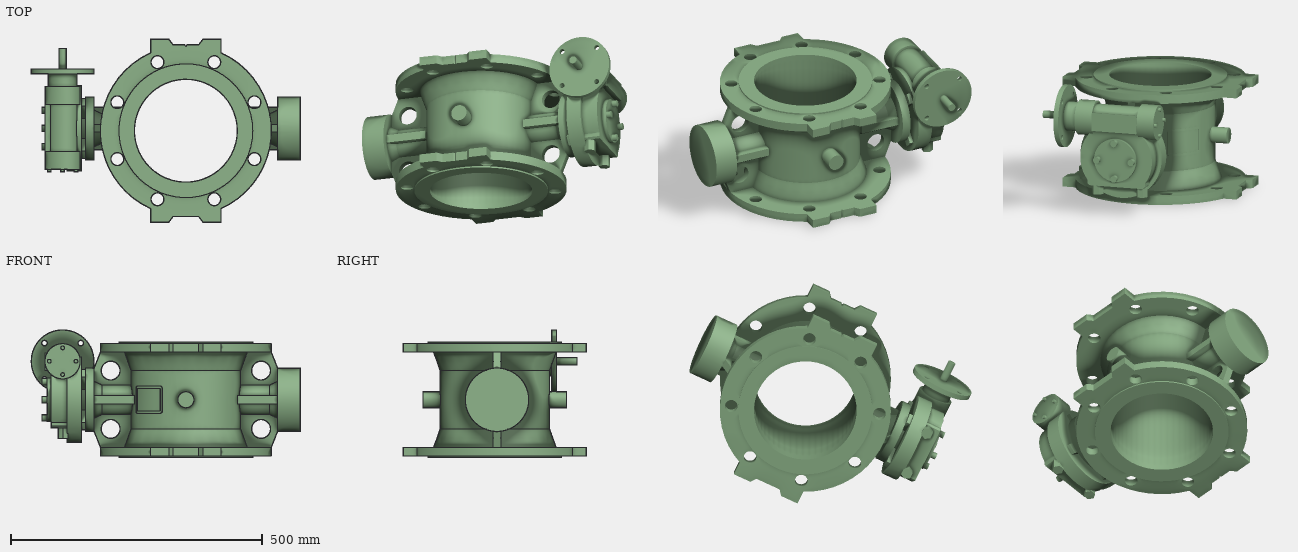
import cadquery as cq
import math


BORE_DIA = 204.0
FACE_TO_FACE = 230.0
RAISED_FACE_DIA = 266.0
RAISED_FACE_HEIGHT = 3.0
FLANGE_DIA = 340.0
FLANGE_THICKNESS = 17.5
BARREL_DIA = 218.0
BARREL_HEIGHT = 116.0
CONE_END_DIA = 244.0
BOLT_CIRCLE_DIA = 295.0
BOLT_HOLE_DIA = 25.0
BOLT_COUNT = 8

FOOT_WIDTH = 140.0
FOOT_REACH = 182.0
FOOT_NOTCH_WIDTH = 68.0
FOOT_NOTCH_FLOOR = 51.0
FOOT_NOTCH_DEPTH = 11.0
MARK_WIDTH = 5.0
MARK_DEPTH = 3.0

SHAFT_Y = 4.5
BOSS_END_X = 182.5
BOSS_DIA = 60.0
BOSS_FLARE_DIA = 75.0
BOSS_FLARE_X = 166.5
WEB_THICKNESS = 15.0
WEB_SHOULDER_Z = 63.0
LIFTING_HOLE_DIA = 37.0
LIFTING_HOLE_X = 149.5
LIFTING_HOLE_Z = 58.0
RIB_THICKNESS = 16.0
RIB_WIDTH = 85.0
RIB_INNER_X = 102.5
MOUNT_DIA = 126.0
END_CAP_LENGTH = 45.0
MOUNT_FLANGE_THICKNESS = 17.0

PIN_DIA = 32.0
PIN_REACH = 143.0
FRAME_WIDTH = 74.0
FRAME_HEIGHT = 55.0
FRAME_BORDER = 4.7
FRAME_RELIEF = 1.0
FRAME_CORNER_RADIUS = 6.0
FRAME_INNER_RADIUS = 2.0
FRAME_ANGLE = 225.0

SMALL_BOLT_COUNT = 4
COUPLING_DIA = 150.0
COUPLING_ARM_WIDTH = 21.0
COUPLING_HUB_DIA = 81.0
GEAR_BASE_X = -207.0
GEAR_BASE_DIA = 170.0
GEAR_BASE_LENGTH = 29.5
HOUSING_DIA = 150.0
HOUSING_LENGTH = 31.5
HOUSING_FOOT_WIDTH = 120.0
HOUSING_FOOT_Z = -56.0
HOUSING_FOOT_CHAMFER = 3.5
COVER_DIA = 87.0
COVER_THICKNESS = 8.0
COVER_BOLT_DIA = 13.0
COVER_BOLT_LENGTH = 10.0
COVER_BOLT_CIRCLE_DIA = 72.0
STOP_SCREW_FLATS = 20.0
STOP_SCREW_LENGTH = 21.5
STOP_SCREW_SPACING = 92.0
STOP_SCREW_X = -244.0

WORM_X = -245.0
WORM_Z = 76.5
WORM_TUBE_DIA = 58.0
WORM_COLLAR_DIA = 70.0
WORM_COLLAR_START_Y = -77.0
WORM_COLLAR_END_Y = 88.0
WORM_COLLAR_LENGTH = 35.5
WORM_BLOCK_BOTTOM_Z = 58.0
WORM_BLOCK_TOP_Z = 93.0
INPUT_FLANGE_Y = 113.0
INPUT_FLANGE_DIA = 125.0
INPUT_FLANGE_THICKNESS = 10.0
INPUT_FLANGE_HOLE_DIA = 10.5
INPUT_FLANGE_BOLT_CIRCLE_DIA = 102.0
INPUT_SHAFT_DIA = 15.0
INPUT_SHAFT_END_Y = 163.5
CAP_SCREW_DIA = 7.5
CAP_SCREW_LENGTH = 5.0
CAP_SCREW_CIRCLE_DIA = 53.0

HALF_LENGTH = FACE_TO_FACE / 2
FLANGE_OUTER_Z = HALF_LENGTH - RAISED_FACE_HEIGHT
FLANGE_INNER_Z = FLANGE_OUTER_Z - FLANGE_THICKNESS
HOUSING_BASE_X = GEAR_BASE_X - GEAR_BASE_LENGTH
HOUSING_FACE_X = HOUSING_BASE_X - HOUSING_LENGTH
COVER_FACE_X = HOUSING_FACE_X - COVER_THICKNESS


def cylinder_x(diameter, x_start, x_end, y=SHAFT_Y, z=0.0):
    """Cylinder parallel to X."""
    start = cq.Vector(x_start, y, z)
    return cq.Workplane(cq.Solid.makeCylinder(diameter / 2, x_end - x_start, start, cq.Vector(1, 0, 0)))


def cylinder_y(diameter, y_start, y_end, x=WORM_X, z=WORM_Z):
    """Cylinder parallel to Y."""
    start = cq.Vector(x, y_start, z)
    return cq.Workplane(cq.Solid.makeCylinder(diameter / 2, y_end - y_start, start, cq.Vector(0, 1, 0)))


def box_between(x_range, y_range, z_range):
    """Axis-aligned box given by its limits."""
    return (
        cq.Workplane()
        .box(x_range[1] - x_range[0], y_range[1] - y_range[0], z_range[1] - z_range[0], centered=False)
        .translate((x_range[0], y_range[0], z_range[0]))
    )


def circle_points(diameter, count, first_angle):
    """Points evenly spaced on a circle about the origin."""
    angles = [math.radians(first_angle + i * 360 / count) for i in range(count)]
    return [(diameter / 2 * math.cos(a), diameter / 2 * math.sin(a)) for a in angles]


def barrel():
    """Barrel with conical ends and the two raised faces, revolved about Z."""
    barrel_r = BARREL_DIA / 2
    cone_r = CONE_END_DIA / 2
    face_r = RAISED_FACE_DIA / 2
    outline = [
        (0, -HALF_LENGTH),
        (face_r, -HALF_LENGTH),
        (face_r, -FLANGE_INNER_Z),
        (cone_r, -FLANGE_INNER_Z),
        (barrel_r, -BARREL_HEIGHT / 2),
        (barrel_r, BARREL_HEIGHT / 2),
        (cone_r, FLANGE_INNER_Z),
        (face_r, FLANGE_INNER_Z),
        (face_r, HALF_LENGTH),
        (0, HALF_LENGTH),
    ]
    return cq.Workplane("XZ").polyline(outline).close().revolve(360, (0, 0), (0, 1))


def flange(z_bottom):
    """Round flange with two notched feet; the +Y foot has a V mark on the centre line."""
    plate = cq.Workplane().circle(FLANGE_DIA / 2).extrude(FLANGE_THICKNESS)
    feet = cq.Workplane().rect(FOOT_WIDTH, 2 * FOOT_REACH).extrude(FLANGE_THICKNESS)
    plate = plate.union(feet)
    notch_y = FOOT_REACH - FOOT_NOTCH_DEPTH
    notch = (
        cq.Workplane()
        .polyline([
            (-FOOT_NOTCH_WIDTH / 2, FOOT_REACH),
            (-FOOT_NOTCH_FLOOR / 2, notch_y),
            (FOOT_NOTCH_FLOOR / 2, notch_y),
            (FOOT_NOTCH_WIDTH / 2, FOOT_REACH),
        ])
        .close()
        .extrude(FLANGE_THICKNESS)
    )
    mark = (
        cq.Workplane()
        .polyline([(-MARK_WIDTH / 2, notch_y), (0, notch_y - MARK_DEPTH), (MARK_WIDTH / 2, notch_y)])
        .close()
        .extrude(FLANGE_THICKNESS)
    )
    plate = plate.cut(notch).cut(notch.mirror("XZ")).cut(mark)
    return plate.translate((0, 0, z_bottom))


def bearing_boss():
    """Shaft boss on the +X side, flared towards its outer end."""
    boss_r = BOSS_DIA / 2
    outline = [
        (0, 0),
        (0, boss_r),
        (BOSS_FLARE_X, boss_r),
        (BOSS_END_X, BOSS_FLARE_DIA / 2),
        (BOSS_END_X, 0),
    ]
    boss = cq.Workplane("XZ").polyline(outline).close().revolve(360, (0, 0), (1, 0))
    return boss.translate((0, SHAFT_Y, 0))


def webs():
    """Upright web with lifting holes and flat ribs, spanning both bosses."""
    flange_r = FLANGE_DIA / 2
    upper_corners = [(flange_r, FLANGE_INNER_Z), (BOSS_END_X, WEB_SHOULDER_Z)]
    right_side = upper_corners + [(x, -z) for x, z in reversed(upper_corners)]
    left_side = [(-x, z) for x, z in reversed(right_side)]
    upright = (
        cq.Workplane("XZ")
        .polyline(right_side + left_side)
        .close()
        .extrude(WEB_THICKNESS / 2, both=True)
    )
    holes = (
        cq.Workplane("XZ")
        .rect(2 * LIFTING_HOLE_X, 2 * LIFTING_HOLE_Z, forConstruction=True)
        .vertices()
        .circle(LIFTING_HOLE_DIA / 2)
        .extrude(WEB_THICKNESS, both=True)
    )
    rib_length = BOSS_END_X - RIB_INNER_X
    rib_centre = (BOSS_END_X + RIB_INNER_X) / 2
    ribs = (
        cq.Workplane()
        .pushPoints([(-rib_centre, 0), (rib_centre, 0)])
        .box(rib_length, RIB_WIDTH, RIB_THICKNESS)
    )
    return upright.cut(holes).union(ribs).translate((0, SHAFT_Y, 0))


def name_plate_frame():
    """Raised rounded frame that follows the barrel surface."""
    barrel_r = BARREL_DIA / 2
    inner_width = FRAME_WIDTH - 2 * FRAME_BORDER
    inner_height = FRAME_HEIGHT - 2 * FRAME_BORDER
    outer = (
        cq.Workplane("YZ")
        .rect(FRAME_WIDTH, FRAME_HEIGHT)
        .extrude(FLANGE_DIA / 2)
        .edges("|X")
        .fillet(FRAME_CORNER_RADIUS)
    )
    inner = (
        cq.Workplane("YZ")
        .rect(inner_width, inner_height)
        .extrude(FLANGE_DIA / 2)
        .edges("|X")
        .fillet(FRAME_INNER_RADIUS)
    )
    skin = (
        cq.Workplane(origin=(0, 0, -BARREL_HEIGHT / 2))
        .circle(barrel_r + FRAME_RELIEF)
        .circle(BORE_DIA / 2)
        .extrude(BARREL_HEIGHT)
    )
    return skin.intersect(outer.cut(inner)).rotate((0, 0, 0), (0, 0, 1), FRAME_ANGLE)


def valve_body():
    """Complete flanged body, bored and drilled."""
    body = barrel()
    body = body.union(flange(FLANGE_INNER_Z)).union(flange(-FLANGE_OUTER_Z))
    body = body.union(webs())
    boss = bearing_boss()
    body = body.union(boss).union(boss.mirror("YZ"))
    body = body.union(cylinder_x(MOUNT_DIA, BOSS_END_X, BOSS_END_X + END_CAP_LENGTH))
    body = body.union(cylinder_x(MOUNT_DIA, -BOSS_END_X - MOUNT_FLANGE_THICKNESS, -BOSS_END_X))
    body = body.union(cylinder_y(PIN_DIA, -PIN_REACH, PIN_REACH, 0, 0))
    body = body.union(name_plate_frame())
    bore = cq.Workplane(origin=(0, 0, -HALF_LENGTH)).circle(BORE_DIA / 2).extrude(FACE_TO_FACE)
    bolt_points = circle_points(BOLT_CIRCLE_DIA, BOLT_COUNT, 180 / BOLT_COUNT)
    body = body.cut(bore)
    for z_bottom in (-HALF_LENGTH, FLANGE_INNER_Z):
        bolt_holes = (
            cq.Workplane(origin=(0, 0, z_bottom))
            .pushPoints(bolt_points)
            .circle(BOLT_HOLE_DIA / 2)
            .extrude(HALF_LENGTH - FLANGE_INNER_Z)
        )
        body = body.cut(bolt_holes)
    return body


def coupling():
    """Hub with four diagonal arms between the mounting flange and the gear base."""
    x_start = GEAR_BASE_X
    x_end = -BOSS_END_X - MOUNT_FLANGE_THICKNESS
    arm = box_between(
        (x_start, x_end),
        (-COUPLING_DIA / 2, COUPLING_DIA / 2),
        (-COUPLING_ARM_WIDTH / 2, COUPLING_ARM_WIDTH / 2),
    )
    envelope = cylinder_x(COUPLING_DIA, x_start, x_end)
    cross = cylinder_x(COUPLING_HUB_DIA, x_start, x_end)
    for angle in (45, -45):
        turned_arm = arm.rotate((0, 0, 0), (1, 0, 0), angle).translate((0, SHAFT_Y, 0))
        cross = cross.union(turned_arm.intersect(envelope))
    return cross


def gear_housing():
    """Round gear case with base disc, flat foot, bolted cover and stop screws."""
    base = cylinder_x(GEAR_BASE_DIA, HOUSING_BASE_X, GEAR_BASE_X)
    x_range = (HOUSING_FACE_X, HOUSING_BASE_X)
    half_foot = HOUSING_FOOT_WIDTH / 2
    foot = box_between(x_range, (SHAFT_Y - half_foot, SHAFT_Y + half_foot), (HOUSING_FOOT_Z, 0))
    foot = foot.edges("|X and <Z").chamfer(HOUSING_FOOT_CHAMFER)
    housing_r = HOUSING_DIA / 2
    foot_side_z = -math.sqrt(housing_r**2 - half_foot**2)
    envelope = box_between(
        x_range,
        (SHAFT_Y - housing_r, SHAFT_Y + housing_r),
        (foot_side_z, WORM_BLOCK_BOTTOM_Z),
    )
    round_case = cylinder_x(HOUSING_DIA, *x_range).intersect(envelope)
    case = base.union(round_case).union(foot)
    case = case.union(cylinder_x(COVER_DIA, COVER_FACE_X, HOUSING_FACE_X))
    for dy, z in circle_points(COVER_BOLT_CIRCLE_DIA, SMALL_BOLT_COUNT, 0):
        bolt = cylinder_x(COVER_BOLT_DIA, COVER_FACE_X - COVER_BOLT_LENGTH, COVER_FACE_X, SHAFT_Y + dy, z)
        case = case.union(bolt)
    corner_dia = STOP_SCREW_FLATS / math.cos(math.pi / 6)
    for side in (-1, 1):
        screw = (
            cq.Workplane(origin=(STOP_SCREW_X, SHAFT_Y + side * STOP_SCREW_SPACING / 2, HOUSING_FOOT_Z))
            .transformed(rotate=(0, 0, 90))
            .polygon(6, corner_dia)
            .extrude(-STOP_SCREW_LENGTH)
        )
        case = case.union(screw)
    return case


def worm_drive():
    """Worm tube with collars, side block, input flange and input shaft."""
    first_collar_end = WORM_COLLAR_START_Y + WORM_COLLAR_LENGTH
    second_collar_start = WORM_COLLAR_END_Y - WORM_COLLAR_LENGTH
    drive = cylinder_y(WORM_TUBE_DIA, WORM_COLLAR_START_Y, INPUT_FLANGE_Y)
    drive = drive.union(cylinder_y(WORM_COLLAR_DIA, WORM_COLLAR_START_Y, first_collar_end))
    drive = drive.union(cylinder_y(WORM_COLLAR_DIA, second_collar_start, WORM_COLLAR_END_Y))
    block = box_between(
        (WORM_X - WORM_COLLAR_DIA / 2, WORM_X),
        (first_collar_end, second_collar_start),
        (WORM_BLOCK_BOTTOM_Z, WORM_BLOCK_TOP_Z),
    )
    drive = drive.union(block)
    flange_end = INPUT_FLANGE_Y + INPUT_FLANGE_THICKNESS
    plate = cylinder_y(INPUT_FLANGE_DIA, INPUT_FLANGE_Y, flange_end)
    for dx, dz in circle_points(INPUT_FLANGE_BOLT_CIRCLE_DIA, SMALL_BOLT_COUNT, 45):
        plate = plate.cut(
            cylinder_y(INPUT_FLANGE_HOLE_DIA, INPUT_FLANGE_Y, flange_end, WORM_X + dx, WORM_Z + dz)
        )
    drive = drive.union(plate)
    drive = drive.union(cylinder_y(INPUT_SHAFT_DIA, flange_end, INPUT_SHAFT_END_Y))
    screw_end = WORM_COLLAR_START_Y - CAP_SCREW_LENGTH
    for dx, dz in circle_points(CAP_SCREW_CIRCLE_DIA, SMALL_BOLT_COUNT, 0):
        screw = cylinder_y(CAP_SCREW_DIA, screw_end, WORM_COLLAR_START_Y, WORM_X + dx, WORM_Z + dz)
        drive = drive.union(screw)
    return drive


result = valve_body().union(coupling()).union(gear_housing()).union(worm_drive())